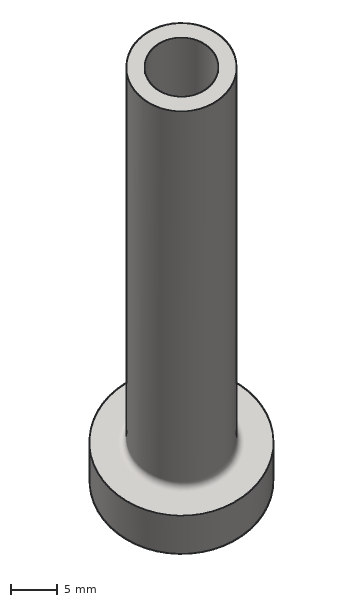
import cadquery as cq

total_length = 75.0
head_diameter = 20.0
head_height = 7.0
tube_diameter = 12.0
bore_diameter = 8.0
neck_fillet = 0.8

head_radius = head_diameter / 2
tube_radius = tube_diameter / 2
bore_radius = bore_diameter / 2

half_section = (
    cq.Workplane("XZ")
    .moveTo(bore_radius, 0)
    .lineTo(head_radius, 0)
    .lineTo(head_radius, head_height)
    .lineTo(tube_radius + neck_fillet, head_height)
    .radiusArc((tube_radius, head_height + neck_fillet), neck_fillet)
    .lineTo(tube_radius, total_length)
    .lineTo(bore_radius, total_length)
    .close()
)

result = half_section.revolve(360, (0, 0, 0), (0, 1, 0))